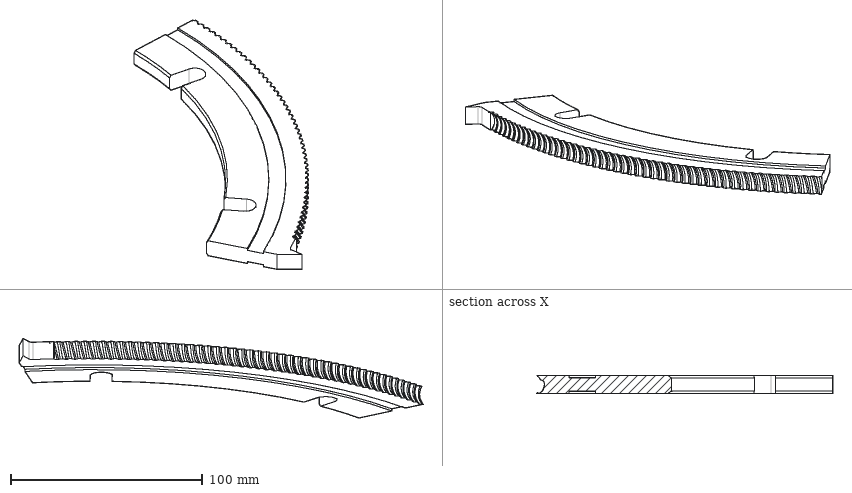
import cadquery as cq
import math

thickness = 9.5
inner_radius = 174.0
outer_radius = 217.4
sector_angle = 63.1

chamfer_width = 1.0
chamfer_height = 1.4

groove_inner_radius = 196.7
groove_outer_radius = 205.5
groove_depth = 1.2

slot_width = 11.5
slot_end_radius = 191.6
slot_angles = (11.8, 51.4)

teeth_per_turn = 291
gap_count = 48
throat_depth = 2.0
tooth_depth = 1.0
gap_floor_width = 0.8
gap_mouth_width = 3.9
mouth_clearance = 0.2

stop_foot_x = 213.1
stop_tip = (225.5, 4.5)
stop_root = (217.8, 6.8)
stop_top = (217.2, 19.2)
stop_root_fillet = 2.0

middle_z = thickness / 2
throat_radius = (middle_z**2 + throat_depth**2) / (2 * throat_depth)
worm_distance = outer_radius - throat_depth + throat_radius
pitch_angle = 360 / teeth_per_turn
pitch_length = math.radians(pitch_angle) * outer_radius
lead_angle = math.degrees(math.atan2(pitch_length / 2, thickness))
last_gap_angle = sector_angle + pitch_angle / 4


def turn(shape, angle):
    """Rotate a shape about the Z axis."""
    return shape.rotate((0, 0, 0), (0, 0, 1), angle)


def band():
    """Band with chamfered inner rim and hollow outer rim, starting on the X axis."""
    profile = (
        cq.Workplane("XZ")
        .moveTo(inner_radius + chamfer_width, 0)
        .lineTo(outer_radius, 0)
        .threePointArc((outer_radius - throat_depth, middle_z), (outer_radius, thickness))
        .lineTo(inner_radius + chamfer_width, thickness)
        .lineTo(inner_radius, thickness - chamfer_height)
        .lineTo(inner_radius, chamfer_height)
        .close()
    )
    return profile.revolve(sector_angle, (0, 0, 0), (0, 1, 0))


def stop():
    """Block at the start of the band with a hooked tip; its inner side is buried in the band."""
    block = (
        cq.Workplane("XY")
        .moveTo(groove_outer_radius, 0)
        .lineTo(stop_foot_x, 0)
        .lineTo(*stop_tip)
        .lineTo(*stop_root)
        .lineTo(*stop_top)
        .lineTo(groove_outer_radius, stop_top[1])
        .close()
        .extrude(thickness)
    )
    root_corner = cq.selectors.NearestToPointSelector((*stop_root, middle_z))
    return block.edges("|Z").edges(root_corner).fillet(stop_root_fillet)


def stop_underside():
    """Wedge below the slanted face that runs from the foot of the stop to its tip."""
    wedge = cq.Workplane("XY").moveTo(stop_foot_x, 0).lineTo(stop_tip[0], 0).lineTo(*stop_tip).close()
    return wedge.extrude(thickness)


def groove(bottom):
    ring = cq.Workplane("XY", origin=(0, 0, bottom))
    return ring.circle(groove_outer_radius).circle(groove_inner_radius).extrude(groove_depth)


def slot(angle):
    length = 2 * (slot_end_radius - inner_radius)
    bar = cq.Workplane("XY").center(inner_radius, 0).slot2D(length, slot_width).extrude(thickness)
    return turn(bar, angle)


def tooth_gap():
    """Tapered ring around the worm axis, leaning by the lead angle, at the X axis."""
    floor_radius = throat_radius + tooth_depth
    mouth_radius = throat_radius - mouth_clearance
    ring = (
        cq.Workplane("XY")
        .moveTo(-mouth_radius, -gap_mouth_width / 2)
        .lineTo(-floor_radius, -gap_floor_width / 2)
        .lineTo(-floor_radius, gap_floor_width / 2)
        .lineTo(-mouth_radius, gap_mouth_width / 2)
        .close()
        .revolve(360, (0, 0, 0), (0, 1, 0))
    )
    return ring.rotate((0, 0, 0), (1, 0, 0), lead_angle).translate((worm_distance, 0, middle_z))


result = band().union(stop()).cut(stop_underside())

for groove_bottom in (0, thickness - groove_depth):
    result = result.cut(groove(groove_bottom))

for slot_angle in slot_angles:
    result = result.cut(slot(slot_angle))

gap_cutter = tooth_gap()
for gap in range(gap_count):
    result = result.cut(turn(gap_cutter, last_gap_angle - gap * pitch_angle))